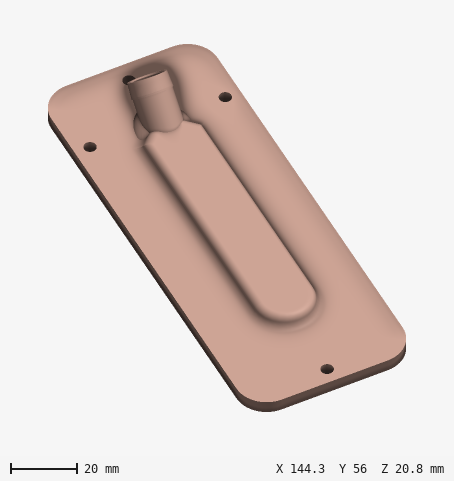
import cadquery as cq
import math

PLATE_LENGTH = 144.3
PLATE_WIDTH = 56.0
PLATE_THICKNESS = 4.3
CORNER_RADIUS = 10.1

HOLE_DIAMETER = 4.0
HOLE_CENTRES = [(-65.7, 0.0), (67.1, 0.0), (-46.5, 22.8), (-46.5, -22.8)]

AXIS_Y = 0.6
CHANNEL_RADIUS = 12.4
CHANNEL_HEIGHT = 4.0
SIDE_RUN = 5.2
ROUND_END_X = 37.1
SHOULDER_X = -40.4
SHOULDER_RUN = 7.2
SHOULDER_ANGLE = 45.0
CUTTER_SIZE = 144.3

SPOUT_ANGLE = 45.0
TIP_X = -54.7
TIP_Z = 16.3
SPOUT_DIAMETER = 12.7
BARB_DIAMETER = 13.3
BARB_LENGTH = 4.6
BARB_LIP = 0.6
BORE_DIAMETER = 11.1
SPOUT_LENGTH = 20.2
BORE_LENGTH = 43.3

COLLAR_HEIGHT = 2.5
COLLAR_FLARE = 2.6

TOP_Z = PLATE_THICKNESS
CHANNEL_TOP_Z = TOP_Z + CHANNEL_HEIGHT
LEAN = math.radians(SPOUT_ANGLE)


def make_plate():
    plate = cq.Workplane("XY").box(
        PLATE_LENGTH, PLATE_WIDTH, PLATE_THICKNESS, centered=(True, True, False)
    )
    return plate.edges("|Z").fillet(CORNER_RADIUS)


def draw_flank(profile, foot, run):
    """Draw an S-shaped flank from its foot up and inward: a hollow arc, then a round one."""
    half_run = run / 2
    half_rise = CHANNEL_HEIGHT / 2
    sweep = 2 * math.atan2(half_rise, half_run)
    radius = half_run / math.sin(sweep)
    mid_run = radius * math.sin(sweep / 2)
    mid_rise = radius * (1 - math.cos(sweep / 2))
    return (
        profile.moveTo(foot, TOP_Z)
        .threePointArc((foot - mid_run, TOP_Z + mid_rise), (foot - half_run, TOP_Z + half_rise))
        .threePointArc((foot - run + mid_run, CHANNEL_TOP_Z - mid_rise), (foot - run, CHANNEL_TOP_Z))
    )


def half_section(plane, foot, run, inner):
    """Close a flank into a flat-topped section reaching from its foot to the inner edge."""
    flank = draw_flank(cq.Workplane(plane), foot, run)
    return flank.lineTo(inner, CHANNEL_TOP_Z).lineTo(inner, TOP_Z).close()


def make_channel():
    straight_length = ROUND_END_X + PLATE_LENGTH / 2
    end_plane = cq.Plane(origin=(ROUND_END_X, AXIS_Y, 0), xDir=(0, 1, 0), normal=(1, 0, 0))
    straight = half_section(end_plane, CHANNEL_RADIUS, SIDE_RUN, 0).extrude(-straight_length)
    straight = straight.union(straight.mirror("XZ", (0, AXIS_Y, 0)))
    round_end = half_section(end_plane, CHANNEL_RADIUS, SIDE_RUN, 0).revolve(360, (0, 0), (0, 1))
    channel = straight.union(round_end)

    for side in (1, -1):
        angle = math.radians(SHOULDER_ANGLE)
        outward = (-math.sin(angle), side * math.cos(angle), 0)
        along = (side * math.cos(angle), math.sin(angle), 0)
        plane = cq.Plane(
            origin=(SHOULDER_X, AXIS_Y + side * CHANNEL_RADIUS, 0), xDir=outward, normal=along
        )
        keep = half_section(plane, 0, SHOULDER_RUN, -CUTTER_SIZE).extrude(CUTTER_SIZE, both=True)
        channel = channel.intersect(keep)
    return channel


def axis_x(height):
    """X of the spout axis at a given height."""
    return TIP_X + (TIP_Z - height) * math.tan(LEAN)


def make_collar():
    half_width = SPOUT_DIAMETER / 2
    half_length = half_width / math.cos(LEAN)
    foot_x = axis_x(TOP_Z)
    rim_x = axis_x(TOP_Z + COLLAR_HEIGHT)
    return (
        cq.Workplane("XY", origin=(foot_x, AXIS_Y, TOP_Z))
        .ellipse(half_length + COLLAR_FLARE, half_width + COLLAR_FLARE)
        .workplane(offset=COLLAR_HEIGHT)
        .center(rim_x - foot_x, 0)
        .ellipse(half_length, half_width)
        .loft()
    )


def spout_plane():
    """Plane at the spout tip, facing down along the spout axis."""
    down = (math.sin(LEAN), 0, -math.cos(LEAN))
    return cq.Plane(origin=(TIP_X, AXIS_Y, TIP_Z), xDir=(0, 1, 0), normal=down)


def make_spout():
    tube_radius = SPOUT_DIAMETER / 2
    barb_radius = BARB_DIAMETER / 2
    lip_end = BARB_LENGTH + BARB_LIP
    section_plane = cq.Plane(
        origin=(TIP_X, AXIS_Y, TIP_Z), xDir=(0, 1, 0), normal=(-math.cos(LEAN), 0, -math.sin(LEAN))
    )
    spout = (
        cq.Workplane(section_plane)
        .lineTo(tube_radius, 0)
        .lineTo(barb_radius, BARB_LENGTH)
        .lineTo(barb_radius, lip_end)
        .lineTo(tube_radius, lip_end)
        .lineTo(tube_radius, SPOUT_LENGTH)
        .lineTo(0, SPOUT_LENGTH)
        .close()
        .revolve(360, (0, 0), (0, 1))
    )
    above_underside = cq.Workplane("XY").box(
        PLATE_LENGTH, PLATE_WIDTH, PLATE_LENGTH, centered=(True, True, False)
    )
    return spout.intersect(above_underside)


def make_bore():
    return cq.Workplane(spout_plane()).circle(BORE_DIAMETER / 2).extrude(BORE_LENGTH)


def make_holes():
    return (
        cq.Workplane("XY").pushPoints(HOLE_CENTRES).circle(HOLE_DIAMETER / 2).extrude(PLATE_THICKNESS)
    )


result = make_plate().union(make_channel()).union(make_collar()).union(make_spout())
result = result.cut(make_bore()).cut(make_holes())